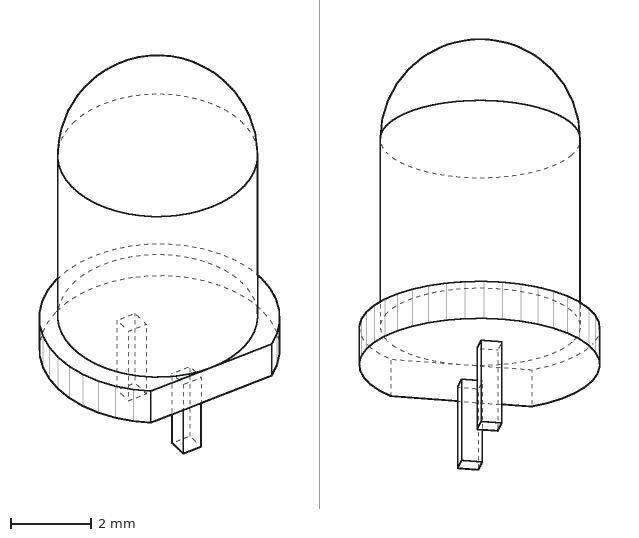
import cadquery as cq

lens_diameter = 5.0
lens_radius = lens_diameter / 2
barrel_height = 5.08

flange_diameter = 6.02
flange_sides = 40
flange_height = 1.0
flat_x = 2.41
lens_x = flat_x - lens_radius

lead_width = 0.53
lead_pitch = 2.57
lead_length = 2.2
lead_middle_x = -0.02


def make_flange():
    """Polygonal disc with its +X side cut off flat."""
    disc = cq.Workplane("XY").polygon(flange_sides, flange_diameter).extrude(flange_height)
    cutter = cq.Workplane("XY").box(
        flange_diameter, flange_diameter, flange_height, centered=(False, True, False)
    )
    return disc.cut(cutter.translate((flat_x, 0, 0)))


def make_barrel():
    """Straight cylinder standing on the flange."""
    plane = cq.Workplane("XY", origin=(lens_x, 0, flange_height))
    return plane.circle(lens_radius).extrude(barrel_height)


def make_dome():
    """Hemisphere resting on the top face of the barrel."""
    quarter_disc = (
        cq.Workplane("XZ", origin=(lens_x, 0, flange_height + barrel_height))
        .lineTo(lens_radius, 0)
        .radiusArc((0, lens_radius), -lens_radius)
        .close()
    )
    return quarter_disc.revolve(360, (0, 0), (0, 1))


def make_lead(x):
    """Square lead centred at x, reaching down from the flange."""
    return cq.Workplane("XY").center(x, 0).rect(lead_width, lead_width).extrude(-lead_length)


flange = make_flange()
barrel = make_barrel()
dome = make_dome()
leads = []
for side in (-1, 1):
    lead_x = lead_middle_x + side * lead_pitch / 2
    leads.append(make_lead(lead_x))

result = cq.Compound.makeCompound(
    [flange.val(), barrel.val(), dome.val(), *[lead.val() for lead in leads]]
)